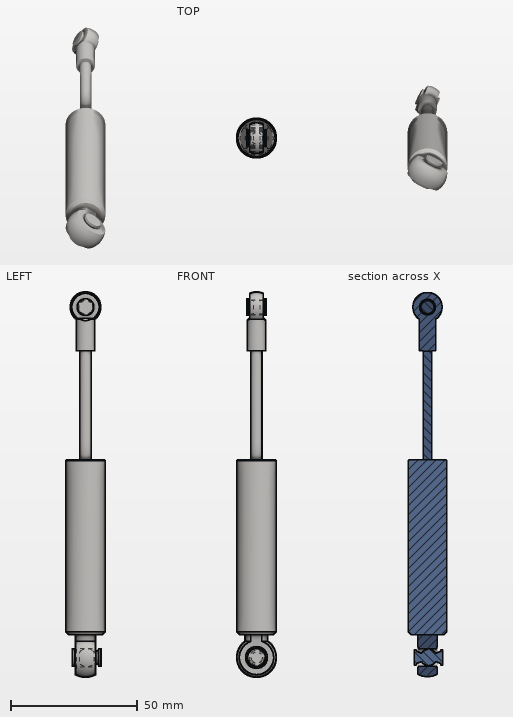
import cadquery as cq
import math

cylinder_radius = 7.86
cylinder_bottom = 8.9
cylinder_top = 78.2
bottom_chamfer = 1.3
top_chamfer = 0.5

lower_eye_radius = cylinder_radius
lower_eye_width = 8.0
lower_neck_radius = 4.55
lower_bore_radius = 3.6
lower_recess_radius = 4.3
lower_recess_depth = 0.3

lower_pin_offset = 0.45
lower_pin_length = 11.5
lower_flange_radius = 3.5
lower_flange_thickness = 1.0
lower_pin_neck_radius = 2.2
lower_pin_flare_radius = 2.9

overall_height = 152.46
upper_eye_radius = 6.05
upper_eye_width = 5.4
upper_eye_z = overall_height - lower_eye_radius - upper_eye_radius
upper_bore_radius = 3.0

shank_radius = 3.7
shank_bottom = 121.2
shank_flat_bottom = 134.2

upper_pin_length = 7.8
upper_flange_radius = 3.3
upper_flange_thickness = 0.6
upper_pin_neck_radius = 2.7

rod_radius = 2.28


def make_cylinder():
    body = cq.Workplane("XY").workplane(offset=cylinder_bottom)
    body = body.circle(cylinder_radius).extrude(cylinder_top - cylinder_bottom)
    body = body.faces(">Z").chamfer(top_chamfer)
    return body.faces("<Z").chamfer(bottom_chamfer)


def make_rod():
    rod = cq.Workplane("XY").workplane(offset=cylinder_top)
    return rod.circle(rod_radius).extrude(shank_bottom - cylinder_top)


def make_lower_eye():
    neck = cq.Workplane("XY").circle(lower_neck_radius).extrude(cylinder_bottom)
    eye = cq.Workplane("XY").sphere(lower_eye_radius).union(neck)
    slab_size = 4 * lower_eye_radius
    eye = eye.intersect(cq.Workplane("XY").box(slab_size, lower_eye_width, slab_size))
    bore = cq.Workplane("XZ").circle(lower_bore_radius).extrude(lower_eye_width, both=True)
    eye = eye.cut(bore)
    recess = cq.Workplane("XZ").workplane(offset=lower_eye_width / 2 - lower_recess_depth)
    recess = recess.circle(lower_recess_radius).extrude(lower_recess_depth)
    return eye.cut(recess).cut(recess.mirror("XZ"))


def make_upper_eye():
    half_width = upper_eye_width / 2
    shank = cq.Workplane("XY").workplane(offset=shank_bottom)
    shank = shank.circle(shank_radius).extrude(upper_eye_z - shank_bottom)
    ball = cq.Workplane("XY").sphere(upper_eye_radius).translate((0, 0, upper_eye_z))
    shoulder_bottom = shank_flat_bottom - (shank_radius - half_width)
    eye_top = upper_eye_z + upper_eye_radius
    outline = [
        (-shank_radius, shank_bottom),
        (shank_radius, shank_bottom),
        (shank_radius, shoulder_bottom),
        (half_width, shank_flat_bottom),
        (half_width, eye_top),
        (-half_width, eye_top),
        (-half_width, shank_flat_bottom),
        (-shank_radius, shoulder_bottom),
    ]
    profile = cq.Workplane("XZ").polyline(outline).close().extrude(2 * upper_eye_radius, both=True)
    slab_size = 4 * upper_eye_radius
    slab = cq.Workplane("XY").box(upper_eye_width, slab_size, slab_size).translate((0, 0, upper_eye_z))
    bore = cq.Workplane("YZ").center(0, upper_eye_z).circle(upper_bore_radius)
    bore = bore.extrude(upper_eye_width, both=True)
    return shank.intersect(profile).union(ball.intersect(slab)).cut(bore)


def make_pin(length, ball_radius, neck_radius, flare_radius, flange_radius, flange_thickness):
    """Pin along Z, centred on its ball."""
    end = length / 2
    flange_start = end - flange_thickness
    neck_start = math.sqrt(ball_radius**2 - neck_radius**2)
    profile = (
        cq.Workplane("XZ")
        .moveTo(0, -end)
        .lineTo(flange_radius, -end)
        .lineTo(flange_radius, -flange_start)
        .lineTo(flare_radius, -flange_start)
        .lineTo(neck_radius, -neck_start)
        .threePointArc((ball_radius, 0), (neck_radius, neck_start))
        .lineTo(flare_radius, flange_start)
        .lineTo(flange_radius, flange_start)
        .lineTo(flange_radius, end)
        .lineTo(0, end)
        .close()
    )
    return profile.revolve(360, (0, 0), (0, 1))


def make_lower_pin():
    pin = make_pin(
        lower_pin_length, lower_bore_radius, lower_pin_neck_radius,
        lower_pin_flare_radius, lower_flange_radius, lower_flange_thickness,
    )
    return pin.rotate((0, 0, 0), (1, 0, 0), 90).translate((0, -lower_pin_offset, 0))


def make_upper_pin():
    pin = make_pin(
        upper_pin_length, upper_bore_radius, upper_pin_neck_radius,
        upper_pin_neck_radius, upper_flange_radius, upper_flange_thickness,
    )
    return pin.rotate((0, 0, 0), (0, 1, 0), 90).translate((0, 0, upper_eye_z))


cylinder = make_cylinder()
rod = make_rod()
lower_eye = make_lower_eye()
lower_pin = make_lower_pin()
upper_eye = make_upper_eye()
upper_pin = make_upper_pin()

bodies = [cylinder, rod, lower_eye, lower_pin, upper_eye, upper_pin]
result = cq.Compound.makeCompound([body.val() for body in bodies])